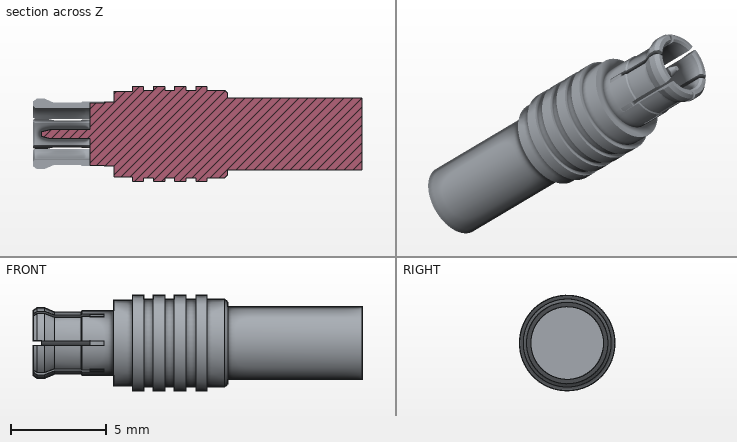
import cadquery as cq

overall_length = 17.2

face_radius = 1.7
bead_radius = 1.85
neck_radius = 1.63
shoulder_radius = 1.69
bead_start = 0.21
bead_end = 0.59
neck_start = 1.1
neck_end = 2.5
shoulder_start = neck_end + (shoulder_radius - neck_radius)

bore_radius = 1.36
mouth_chamfer = 0.11
bore_depth = 2.96

slot_count = 6
slot_width = 0.24
slot_end = 3.7
slot_reach = 2 * bead_radius
slot_floor_radius = 1.65

pin_radius = 0.25
pin_tip_radius = 0.13
pin_tip = 0.43
pin_taper_end = 0.89

collar_radius = 2.25
barrel_radius = 2.3
ring_radius = 2.5
body_start = 4.2
body_end = 10.18
body_chamfer = 0.17
ring_spans = [(5.18, 5.78), (6.27, 6.9), (7.36, 7.99), (8.5, 9.09)]
barrel_start = ring_spans[0][0]

ferrule_radius = 1.9


def revolve_about_x(points):
    """Turn a closed (x, radius) outline about the X axis."""
    return cq.Workplane("XY").polyline(points).close().revolve(360, (0, 0, 0), (1, 0, 0))


def cylinder(start, end, radius):
    """Cylinder on the X axis from x = start to x = end."""
    return cq.Workplane("YZ").workplane(offset=start).circle(radius).extrude(end - start)


def make_collet():
    """Beaded collet with an open socket, solid behind the socket floor."""
    return revolve_about_x([
        (0, bore_radius + mouth_chamfer),
        (0, face_radius),
        (bead_start, bead_radius),
        (bead_end, bead_radius),
        (neck_start, neck_radius),
        (neck_end, neck_radius),
        (shoulder_start, shoulder_radius),
        (body_start, shoulder_radius),
        (body_start, 0),
        (bore_depth, 0),
        (bore_depth, bore_radius),
        (mouth_chamfer, bore_radius),
    ])


def make_slots():
    """Radial slots through the collet wall, running on as shallow grooves behind the socket floor."""
    core = cylinder(0, bore_depth, bore_radius).union(cylinder(bore_depth, slot_end, slot_floor_radius))
    slots = cq.Workplane("XY")
    for index in range(slot_count):
        blade = cq.Workplane("XY").box(slot_end, slot_reach, slot_width, centered=(False, False, True))
        slot = blade.cut(core).rotate((0, 0, 0), (1, 0, 0), index * 360 / slot_count)
        slots = slots.add(slot)
    return slots.combine()


def make_pin():
    """Centre pin with a blunt tapered tip, rising from the socket floor."""
    return revolve_about_x([
        (pin_tip, 0),
        (pin_tip, pin_tip_radius),
        (pin_taper_end, pin_radius),
        (body_start, pin_radius),
        (body_start, 0),
    ])


def make_body():
    """Stepped body with raised grip rings and a chamfered rear edge."""
    body = revolve_about_x([
        (body_start, 0),
        (body_start, collar_radius),
        (barrel_start, collar_radius),
        (barrel_start, barrel_radius),
        (body_end - body_chamfer, barrel_radius),
        (body_end, barrel_radius - body_chamfer),
        (body_end, 0),
    ])
    for start, end in ring_spans:
        body = body.union(cylinder(start, end, ring_radius))
    return body


ferrule = cylinder(body_end, overall_length, ferrule_radius)
result = make_collet().cut(make_slots()).union(make_pin()).union(make_body()).union(ferrule)